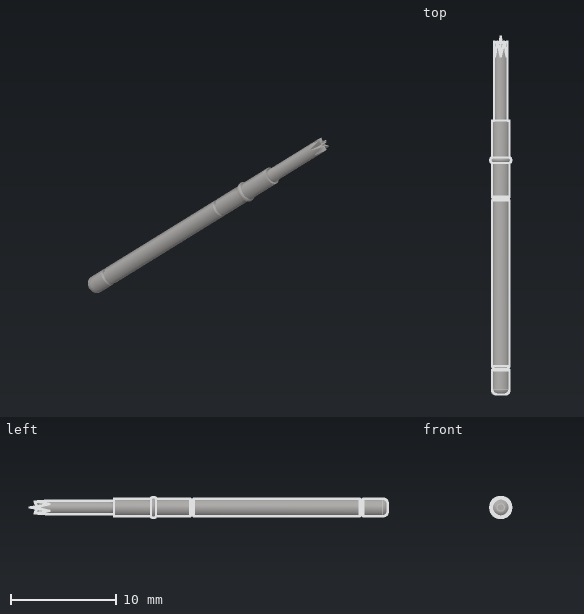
import cadquery as cq
import math


total_length = 34.0
plunger_length = 8.0
plunger_diameter = 1.3
barrel_diameter = 1.7
tail_radius = 0.5
collar_diameter = 2.0
collar_width = 0.5
collar_setback = 3.75
crimp_width = 0.4
crimp_depth = 0.15
crimp_to_tail = (18.6, 2.5)

tooth_count = 6
tooth_setback = 0.48
moat_drop = 0.2
spike_base_radius = 0.12
notch_setback = 1.9
tool_margin = 0.5

plunger_radius = plunger_diameter / 2
barrel_radius = barrel_diameter / 2
collar_radius = collar_diameter / 2
apex_y = plunger_length
tail_y = plunger_length - total_length
tooth_y = apex_y - tooth_setback
spike_base_y = tooth_y - moat_drop


def make_barrel():
    """Revolve the barrel with its rounded tail, two crimps and collar."""
    diagonal = math.sqrt(0.5)
    fillet_center_x = barrel_radius - tail_radius
    fillet_center_y = tail_y + tail_radius
    fillet_middle = (
        fillet_center_x + tail_radius * diagonal,
        fillet_center_y - tail_radius * diagonal,
    )
    profile = (
        cq.Workplane("XY")
        .moveTo(0, tail_y)
        .lineTo(fillet_center_x, tail_y)
        .threePointArc(fillet_middle, (barrel_radius, fillet_center_y))
    )
    for distance in sorted(crimp_to_tail):
        crimp_y = tail_y + distance
        profile = (
            profile.lineTo(barrel_radius, crimp_y - crimp_width / 2)
            .lineTo(barrel_radius - crimp_depth, crimp_y)
            .lineTo(barrel_radius, crimp_y + crimp_width / 2)
        )
    profile = (
        profile.lineTo(barrel_radius, -collar_setback - collar_width / 2)
        .threePointArc(
            (collar_radius, -collar_setback),
            (barrel_radius, -collar_setback + collar_width / 2),
        )
        .lineTo(barrel_radius, 0)
        .lineTo(0, 0)
        .close()
    )
    return profile.revolve(360, (0, 0, 0), (0, 1, 0))


def make_plunger_blank():
    """Revolve the plunger with a raised rim around a central spike."""
    outline = [
        (0, 0),
        (plunger_radius, 0),
        (plunger_radius, tooth_y),
        (spike_base_radius, spike_base_y),
        (0, apex_y),
    ]
    return cq.Workplane("XY").polyline(outline).close().revolve(360, (0, 0, 0), (0, 1, 0))


def make_notch_cutter():
    """V-shaped cutter on the +Z side, its root falling from the spike apex to the plunger surface."""
    root_length = math.hypot(plunger_radius, notch_setback)
    root_y = -notch_setback / root_length
    root_z = plunger_radius / root_length

    half_pitch = math.pi / tooth_count
    tooth_x = plunger_radius * math.sin(half_pitch)
    tooth_z = plunger_radius * math.cos(half_pitch)
    tooth_height = tooth_z * -root_y - tooth_setback * root_z
    cutter_height = plunger_diameter
    cutter_half_width = cutter_height * tooth_x / tooth_height

    start = (0, apex_y - tool_margin * root_y, -tool_margin * root_z)
    plane = cq.Plane(origin=start, xDir=(1, 0, 0), normal=(0, root_y, root_z))
    section = [
        (0, 0),
        (cutter_half_width, cutter_height),
        (-cutter_half_width, cutter_height),
    ]
    return cq.Workplane(plane).polyline(section).close().extrude(root_length + 2 * tool_margin)


def make_plunger():
    """Cut the evenly spaced notches that leave the crown teeth."""
    plunger = make_plunger_blank()
    cutter = make_notch_cutter()
    for index in range(tooth_count):
        angle = index * 360 / tooth_count
        plunger = plunger.cut(cutter.rotate((0, 0, 0), (0, 1, 0), angle))
    return plunger


result = make_barrel().union(make_plunger())